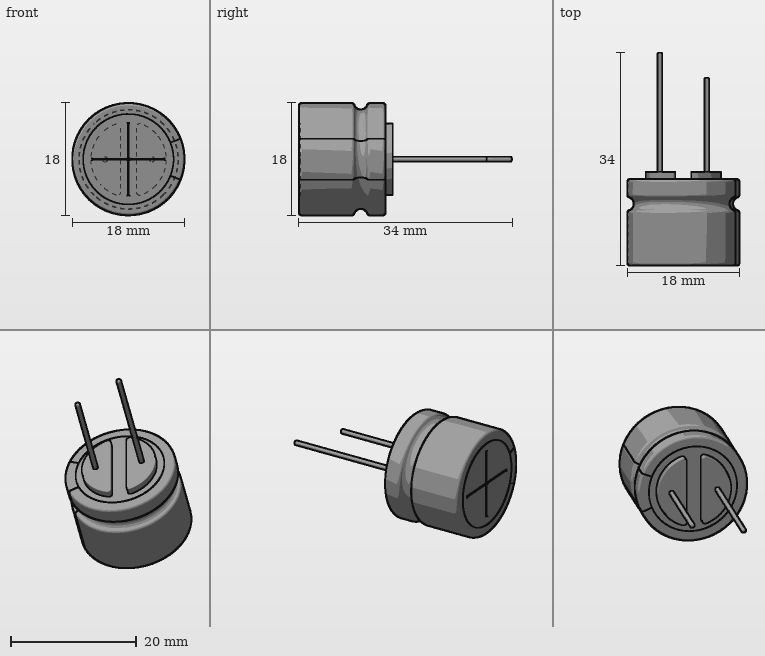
import cadquery as cq
import math

can_diameter = 18.0
core_diameter = 17.8
can_length = 13.87
sleeve_thickness = (can_diameter - core_diameter) / 2
can_radius = can_diameter / 2
edge_fillet = 0.5
opening_diameter = 14.4

groove_center = 9.9
groove_radius = 1.05
groove_floor_radius = 7.95
groove_lip_fillet = 0.5

strip_half_angle = 21.5

score_length = 11.5
score_width = 0.2
score_depth = 0.15
score_edge_fillet = 0.1

pad_diameter = 12.0
pad_gap = 2.5
pad_corner_fillet = 0.5
pad_rim_fillet = 0.1
pad_end = 15.0

lead_diameter = 0.8
lead_spacing = 7.48
long_lead_end = 34.0
short_lead_end = 30.0
lead_tip_fillet = 0.3


def disc(diameter, start, end):
    """Cylinder on the Y axis between two Y positions."""
    plane = cq.Workplane("XZ", origin=(0, start, 0))
    return plane.circle(diameter / 2).extrude(start - end)


def can_shape(inset):
    """Solid grooved can, with its whole surface moved inward by the inset."""
    radius = can_radius - inset
    start = inset
    end = can_length - inset
    fillet = edge_fillet - inset
    lip = groove_lip_fillet - inset
    groove = groove_radius + inset
    groove_axis_radius = groove_floor_radius + groove_radius

    lip_axis_radius = radius - lip
    rise = groove_axis_radius - lip_axis_radius
    reach = math.sqrt((groove + lip) ** 2 - rise**2)
    share = groove / (groove + lip)
    tangent_radius = groove_axis_radius - rise * share
    tangent_offset = reach * share

    lip_angle = math.atan2(-(reach - tangent_offset), tangent_radius - lip_axis_radius) / 2
    lip_mid_radius = lip_axis_radius + lip * math.cos(lip_angle)
    lip_mid_offset = reach + lip * math.sin(lip_angle)

    corner = fillet * (1 - math.sqrt(0.5))
    outline = (
        cq.Workplane("XY")
        .moveTo(0, start)
        .lineTo(radius - fillet, start)
        .threePointArc((radius - corner, start + corner), (radius, start + fillet))
        .lineTo(radius, groove_center - reach)
        .threePointArc(
            (lip_mid_radius, groove_center - lip_mid_offset),
            (tangent_radius, groove_center - tangent_offset),
        )
        .threePointArc(
            (groove_axis_radius - groove, groove_center),
            (tangent_radius, groove_center + tangent_offset),
        )
        .threePointArc(
            (lip_mid_radius, groove_center + lip_mid_offset),
            (radius, groove_center + reach),
        )
        .lineTo(radius, end - fillet)
        .threePointArc((radius - corner, end - corner), (radius - fillet, end))
        .lineTo(0, end)
        .close()
    )
    return outline.revolve(360, (0, 0, 0), (0, 1, 0))


def strip_sector():
    """Wedge around +X that covers the marking strip."""
    reach = 2 * can_radius
    half_width = reach * math.tan(math.radians(strip_half_angle))
    points = [(0, 0), (reach, half_width), (reach, -half_width)]
    return cq.Workplane("XZ").polyline(points).close().extrude(-can_length)


def full_sleeve():
    """Thin skin around the core, open in the middle of both ends."""
    skin = can_shape(0).cut(can_shape(sleeve_thickness))
    return skin.cut(disc(opening_diameter, 0, can_length))


def make_sleeve():
    """Skin with the marking strip left out."""
    return full_sleeve().cut(strip_sector())


def make_marking_strip():
    """Strip of the skin on the side of the short lead."""
    return full_sleeve().intersect(strip_sector())


def standoff_pads():
    """Two round-backed pads on either side of a straight gap."""
    gap = cq.Workplane("XY").box(pad_gap, 2 * pad_end, pad_diameter)
    pads = disc(pad_diameter, can_length - sleeve_thickness, pad_end).cut(gap)
    pads = pads.edges("|Y").fillet(pad_corner_fillet)
    return pads.faces(">Y").edges().fillet(pad_rim_fillet)


def lead(x, end):
    """Round wire from the back of the core, with a rounded tip."""
    start = can_length - sleeve_thickness
    wire = cq.Workplane("XZ", origin=(x, start, 0)).circle(lead_diameter / 2).extrude(start - end)
    return wire.faces(">Y").edges().fillet(lead_tip_fillet)


def score_cross():
    """Two crossed bars, half sunk into the front face of the core."""
    thickness = 2 * score_depth
    center = cq.Workplane("XY", origin=(0, sleeve_thickness, 0))
    level_bar = center.box(score_length, thickness, score_width)
    upright_bar = center.box(score_width, thickness, score_length)
    return level_bar.union(upright_bar)


def make_core():
    """Grooved can with its scored face, standoff pads and leads."""
    can = can_shape(sleeve_thickness).cut(score_cross())
    can = can.faces("<Y").edges("not %CIRCLE").fillet(score_edge_fillet)
    long_lead = lead(-lead_spacing / 2, long_lead_end)
    short_lead = lead(lead_spacing / 2, short_lead_end)
    return can.union(standoff_pads()).union(long_lead).union(short_lead)


core = make_core()
sleeve = make_sleeve()
marking_strip = make_marking_strip()

result = cq.Compound.makeCompound([core.val(), sleeve.val(), marking_strip.val()])